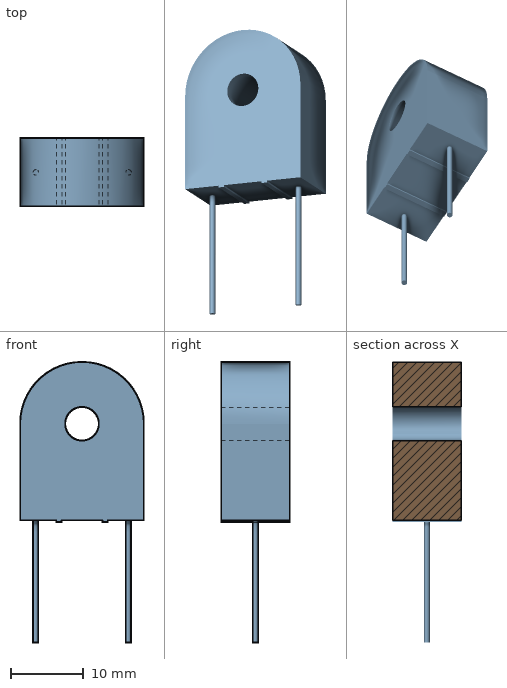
import cadquery as cq

body_width = 17.0
body_depth = 9.4
total_height = 38.5
pin_length_below_ribs = 16.5
rib_height = 0.25
rib_width = 0.76
rib_spacing = 6.35
hole_diameter = 4.58
pin_diameter = 0.76
pin_spacing = 12.7

crown_radius = body_width / 2
pin_length = pin_length_below_ribs + rib_height
body_height = total_height - pin_length
crown_center_z = body_height - crown_radius


def make_body():
    """Block with a half-round crown, centred on the XZ and YZ planes."""
    return (
        cq.Workplane("XZ")
        .moveTo(-crown_radius, 0)
        .lineTo(crown_radius, 0)
        .lineTo(crown_radius, crown_center_z)
        .threePointArc((0, body_height), (-crown_radius, crown_center_z))
        .close()
        .extrude(body_depth / 2, both=True)
    )


def make_hole():
    """Through-hole along Y, concentric with the crown."""
    return (
        cq.Workplane("XZ")
        .center(0, crown_center_z)
        .circle(hole_diameter / 2)
        .extrude(body_depth / 2, both=True)
    )


def make_rib(x):
    """Standoff rib under the body, running its full depth."""
    return (
        cq.Workplane("XY")
        .center(x, 0)
        .rect(rib_width, body_depth)
        .extrude(-rib_height)
    )


def make_pin(x):
    """Round lead hanging from the underside of the body."""
    return (
        cq.Workplane("XY")
        .center(x, 0)
        .circle(pin_diameter / 2)
        .extrude(-pin_length)
    )


result = make_body().cut(make_hole())
for side in (-1, 1):
    result = result.union(make_rib(side * rib_spacing / 2))
    result = result.union(make_pin(side * pin_spacing / 2))